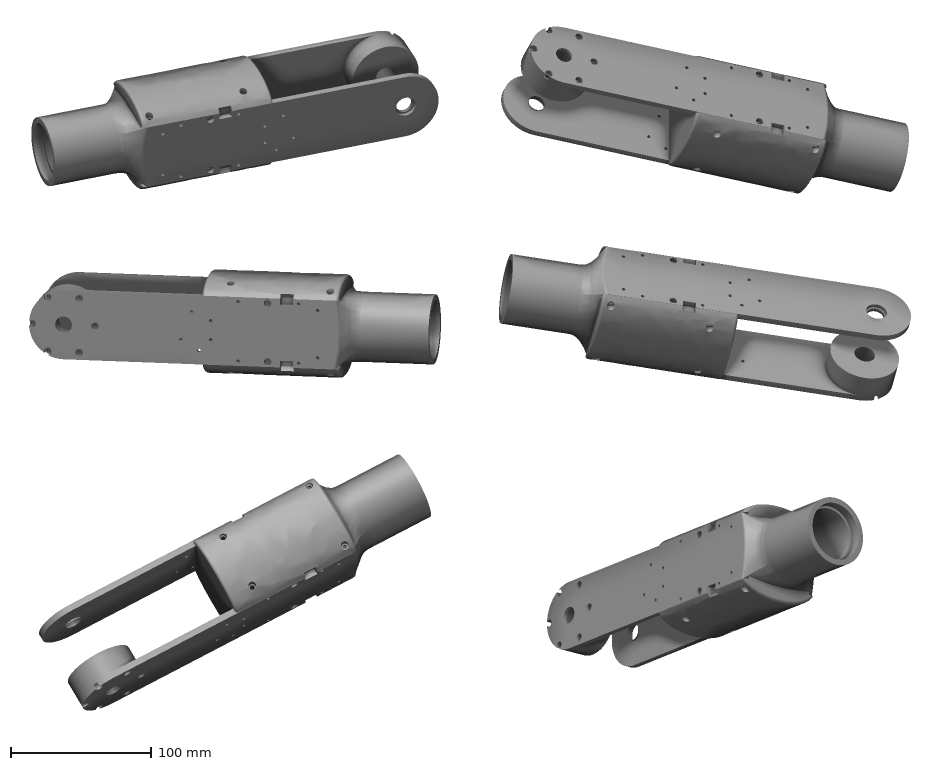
import cadquery as cq
import math


half_width = 32.0
tube_radius = 25.0
arm_thickness = 4.5
arm_inner_x = half_width - arm_thickness
thick_end = 7.2
fork_length = 288
tube_end_y = tube_radius - fork_length
flare_corner_y = -196.7
flare_side_y = -199.5
flare_end_y = -212.8
flare_steps = 4
flare_fillet = 2.3
bore_diameter = 38.0
mouth_diameter = 42.0
mouth_depth = 7.5

cover_start_y = -100.2
cover_length = 98.8
cover_end_y = cover_start_y - cover_length
cover_top_z = 36.15
dome_center_z = 21.5
dome_half_width = 32.75
dome_height = cover_top_z - dome_center_z
dome_fillet = 2.0

drum_inner_x = -10.0
bushing_outer = 13.0
bushing_bore = 12.0
bushing_length = 2.5
bushing_rise = 1.0
pivot_clearance = 15.0

head_diameter = 5.5
drum_head_depth = 3.7
drum_screw_diameter = 3.5
drum_screw_circle = 22.8
drum_screw_count = 6
drum_screw_depth = 7.2
arm_screw_diameter = 2.7
arm_head_depth = 3.7
arm_screw_y = -147.7
arm_screw_z = 21.3
pin_diameter = 2.5
pin_places_y = (-126.5, -170.2)
pin_z = 21.5
through_diameter = 2.5
through_holes = [(-92.7, 13.0), (-106.5, 7.0), (-106.5, -7.0), (-98, -15.0), (-85.0, -7.5), (-184.0, 17.3), (-184.0, -17.3)]
clamp_x = 21.3
clamp_y = -119.2
clamp_diameter = 3.5
clamp_head_z = 28.8
end_screw_x = 26
end_screw_y = -192.0
end_screw_diameter = 3.0
end_screw_head_z = 27.5

notch_edge_x = 29.5
notch_length = 9.5
notch_bottom_z = 20.2
left_notch_y = -161.5
right_notch_y = -136.2


def span_box(x_range, y_range, z_range):
    """Box between two limits on each axis."""
    size = [high - low for low, high in (x_range, y_range, z_range)]
    corner = (x_range[0], y_range[0], z_range[0])
    return cq.Workplane("XY").box(*size, centered=False).translate(corner)


def rod_x(diameter, x_start, x_end, y=0, z=0):
    """Cylinder along X."""
    return cq.Workplane("YZ", origin=(x_start, y, z)).circle(diameter / 2).extrude(x_end - x_start)


def rod_y(diameter, y_start, y_end):
    """Cylinder along Y on the tube axis."""
    return cq.Workplane("XZ", origin=(0, y_start, 0)).circle(diameter / 2).extrude(y_start - y_end)


def rod_z(diameter, x, y, z_start, z_end):
    """Cylinder along Z."""
    return cq.Workplane("XY", origin=(x, y, z_start)).circle(diameter / 2).extrude(z_end - z_start)


def flare_section(remaining):
    """Closed outline of the flare: end outline of the arms at 1, circle of the tube at 0.

    Widths shrink with the square of `remaining`, so that the flare meets the tube tangentially.
    The sides lead the corners toward -Y.
    """
    corner_angle = math.atan2(tube_radius, half_width)

    def narrowed(wide, narrow):
        return narrow + (wide - narrow) * remaining**2

    corner_x = narrowed(half_width, tube_radius * math.cos(corner_angle))
    corner_z = narrowed(tube_radius, tube_radius * math.sin(corner_angle))
    corner_y = flare_end_y + (flare_corner_y - flare_end_y) * remaining
    side_x = narrowed(half_width, tube_radius)
    side_y = flare_end_y + (flare_side_y - flare_end_y) * remaining

    corners = [cq.Vector(right * corner_x, corner_y, up * corner_z)
               for right, up in ((1, 1), (-1, 1), (-1, -1), (1, -1))]
    middles = [
        cq.Vector(0, corner_y, tube_radius),
        cq.Vector(-side_x, side_y, 0),
        cq.Vector(0, corner_y, -tube_radius),
        cq.Vector(side_x, side_y, 0),
    ]
    edges = []
    for start, middle, end in zip(corners, middles, corners[1:] + corners[:1]):
        if remaining == 1 and middle.x == 0:
            edges.append(cq.Edge.makeLine(start, end))
        else:
            edges.append(cq.Edge.makeThreePointArc(start, middle, end))
    return cq.Wire.assembleEdges(edges)


def make_flare():
    """Concave shoulder between the arms and the tube, closed by flat faces."""
    sections = [flare_section(1 - step / flare_steps) for step in range(flare_steps + 1)]
    skin = cq.occ_impl.shapes.loft(*sections, cap=False)

    back_corners = [cq.Vector(right * half_width, flare_corner_y, up * tube_radius)
                    for right, up in ((1, 1), (-1, 1), (-1, -1), (1, -1))]
    back = cq.Face.makeFromWires(cq.Wire.makePolygon(back_corners, close=True))
    front = cq.Face.makeFromWires(sections[-1])
    flats = [back, front]
    for side in (-half_width, half_width):
        low = cq.Vector(side, flare_corner_y, -tube_radius)
        high = cq.Vector(side, flare_corner_y, tube_radius)
        bulge = cq.Edge.makeThreePointArc(low, cq.Vector(side, flare_side_y, 0), high)
        flats.append(cq.Face.makeFromWires(cq.Wire.assembleEdges([bulge, cq.Edge.makeLine(high, low)])))

    return cq.Workplane(cq.Solid.makeSolid(cq.Shell.makeShell(skin.Faces() + flats)).fix())


def round_flare_sides(body):
    """Fillet the two curved edges where the arm sides turn into the flare."""
    side_edges = []
    for edge in body.edges().vals():
        box = edge.BoundingBox()
        on_side = box.xlen < 0.03 and abs(abs(box.center.x) - half_width) < 0.03
        if on_side and abs(box.ymin - flare_side_y) < 0.03:
            side_edges.append(edge)
    return body.newObject(side_edges).fillet(flare_fillet)


def latch_notches():
    """Windows through the arms, each running on under a sloped lip of the housing half."""
    lip_z = dome_center_z + dome_height * math.sqrt(1 - (notch_edge_x / dome_half_width) ** 2)
    outside_x = half_width + 3
    outline = [
        (outside_x, notch_bottom_z),
        (arm_inner_x, notch_bottom_z),
        (arm_inner_x, tube_radius),
        (notch_edge_x, lip_z),
        (outside_x, lip_z),
    ]
    window = cq.Workplane("XZ").polyline(outline).close().extrude(notch_length / 2, both=True)
    right_pair = window.union(window.mirror("XY"))
    left_pair = right_pair.mirror("YZ")
    return right_pair.translate((0, right_notch_y, 0)).union(left_pair.translate((0, left_notch_y, 0)))


def cross_holes():
    """Holes along X through both arms and whatever lies between them."""
    holes = cq.Workplane()
    for y, z in through_holes:
        holes = holes.add(rod_x(through_diameter, -half_width, half_width, y, z))
    return holes.combine()


def drum_screw_holes():
    """Counterbored ring of holes around the pivot, from the outside of the left arm into the drum."""
    holes = cq.Workplane()
    for i in range(drum_screw_count):
        angle = 2 * math.pi * i / drum_screw_count
        y = drum_screw_circle * math.cos(angle)
        z = drum_screw_circle * math.sin(angle)
        holes = holes.add(rod_x(head_diameter, -half_width, drum_head_depth - half_width, y, z))
        holes = holes.add(rod_x(drum_screw_diameter, -half_width, drum_screw_depth - half_width, y, z))
    return holes.combine()


def arm_fastener_holes():
    """Pin holes and counterbored screw holes through the right arm, near its long edges."""
    holes = cq.Workplane()
    for z_side in (-1, 1):
        for y in pin_places_y:
            holes = holes.add(rod_x(pin_diameter, arm_inner_x, half_width, y, z_side * pin_z))
        z = z_side * arm_screw_z
        holes = holes.add(rod_x(arm_screw_diameter, arm_inner_x, half_width, arm_screw_y, z))
        holes = holes.add(rod_x(head_diameter, half_width - arm_head_depth, half_width, arm_screw_y, z))
    return holes.combine()


def pivot_holes():
    """Bushing seats at the pivot, each opening into a wider clearance hole."""
    left_seat_end = bushing_length - half_width
    right_seat_end = arm_inner_x - bushing_rise + bushing_length
    left = rod_x(bushing_outer, -half_width, left_seat_end).union(
        rod_x(pivot_clearance, left_seat_end, 0))
    right = rod_x(bushing_outer, arm_inner_x, right_seat_end).union(
        rod_x(pivot_clearance, right_seat_end, half_width))
    return left.union(right)


def make_fork():
    height = (-tube_radius, tube_radius)
    arm_block = rod_x(2 * tube_radius, -half_width, half_width).union(
        span_box((-half_width, half_width), (flare_corner_y, 0), height))
    fork = round_flare_sides(arm_block.union(make_flare()))
    fork = fork.union(rod_y(2 * tube_radius, flare_end_y, tube_end_y))

    fork = fork.cut(span_box((-arm_inner_x, arm_inner_x), (cover_end_y, tube_radius), height))
    left_end = rod_x(2 * tube_radius, -half_width, thick_end - half_width).intersect(
        span_box((-half_width, 0), (0, tube_radius), height))
    fork = fork.union(left_end)

    fork = fork.cut(rod_y(bore_diameter, cover_end_y, tube_end_y))
    fork = fork.cut(rod_y(mouth_diameter, tube_end_y + mouth_depth, tube_end_y))

    right_fasteners = arm_fastener_holes()
    fork = fork.cut(right_fasteners).cut(right_fasteners.mirror("YZ"))
    return fork.cut(pivot_holes()).cut(drum_screw_holes()).cut(cross_holes()).cut(latch_notches())


def make_cover():
    """Upper housing half: a domed cap over the arms and a block that fills the space between them."""
    y_range = (cover_end_y, cover_start_y)
    dome = cq.Workplane("XZ", origin=(0, cover_start_y, dome_center_z))
    dome = dome.ellipse(dome_half_width, dome_height).extrude(cover_length)
    dome = dome.faces("<Y or >Y").edges().fillet(dome_fillet)
    cap = dome.intersect(span_box((-half_width, half_width), y_range, (tube_radius, cover_top_z)))
    cover = cap.union(span_box((-arm_inner_x, arm_inner_x), y_range, (0, tube_radius)))
    cover = cover.cut(cross_holes()).cut(latch_notches())
    for side in (-1, 1):
        x = side * clamp_x
        cover = cover.cut(rod_z(clamp_diameter, x, clamp_y, 0, cover_top_z))
        cover = cover.cut(rod_z(head_diameter, x, clamp_y, clamp_head_z, cover_top_z))
        x = side * end_screw_x
        cover = cover.cut(rod_z(end_screw_diameter, x, end_screw_y, tube_radius, cover_top_z))
        cover = cover.cut(rod_z(head_diameter, x, end_screw_y, end_screw_head_z, cover_top_z))
    return cover


def make_drum(fork):
    """Round drum against the inside of the left arm, notched to fit its thicker end."""
    drum = rod_x(2 * tube_radius, -arm_inner_x, drum_inner_x)
    return drum.cut(fork).cut(pivot_holes()).cut(drum_screw_holes())


def make_bushing(x_start):
    """Thin sleeve on the pivot axis."""
    x_end = x_start + bushing_length
    return rod_x(bushing_outer, x_start, x_end).cut(rod_x(bushing_bore, x_start, x_end))


fork = make_fork()
top_cover = make_cover()
bottom_cover = top_cover.mirror("XY")
drum = make_drum(fork)
bushings = [make_bushing(x_start) for x_start in (-half_width, arm_inner_x - bushing_rise)]

bodies = [fork, top_cover, bottom_cover, drum, *bushings]
result = cq.Compound.makeCompound([body.solids().val() for body in bodies])